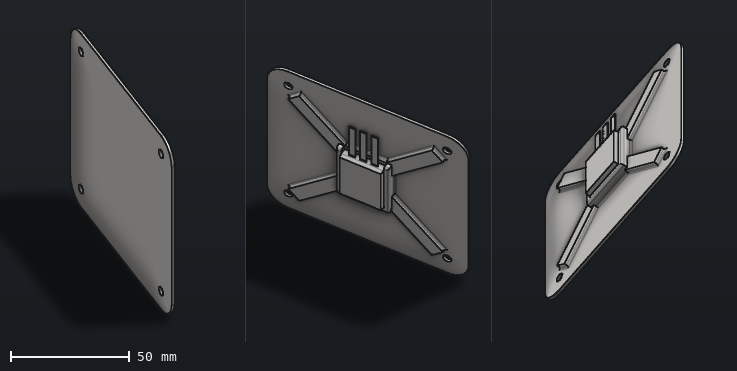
import cadquery as cq

plate_side = 95.0
plate_thickness = 1.5
plate_corner_radius = 10.0
hole_diameter = 4.0
hole_spacing = 75.05

rib_thickness = 2.0
rib_width = 7.3
rib_span = 95.95
rib_root_fillet = 0.95

sensor_width = 20.0
sensor_height = 25.9
sensor_depth = 4.9
front_inset = 0.24
back_inset = 0.3
terminal_count = 3
terminal_width = 3.0
terminal_thickness = 0.5
terminal_reach = 32.5
terminal_pitch = 5.3
terminal_seat = 1.7

pocket_clearance = 0.1
side_wall = 2.4
top_wall = 1.8
bottom_wall = 2.85
frame_depth = 2.85
frame_edge_fillet = 0.95

rib_top = plate_thickness + rib_thickness
terminal_front = rib_top + terminal_seat
pocket_width = sensor_width + 2 * pocket_clearance
pocket_height = sensor_height + 2 * pocket_clearance
holder_width = pocket_width + 2 * side_wall
holder_height = pocket_height + top_wall + bottom_wall
holder_center_z = (top_wall - bottom_wall) / 2


def block(width, depth, height, x, front, z):
    """Box centred on x and z, reaching from Y = front backwards by depth."""
    return (
        cq.Workplane("XY")
        .box(width, depth, height, centered=(True, False, True))
        .translate((x, front, z))
    )


def make_plate():
    plate = block(plate_side, plate_thickness, plate_side, 0, 0, 0)
    return plate.edges("|Y").fillet(plate_corner_radius)


def add_back_structure(plate):
    """Add the crossed ribs and the holder block, then round their root and rim."""
    body = plate
    for angle in (45, -45):
        rib = block(rib_span, rib_thickness, rib_width, 0, plate_thickness, 0)
        body = body.union(rib.rotate((0, 0, 0), (0, 1, 0), angle))
    holder = block(
        holder_width, rib_thickness + frame_depth, holder_height, 0, plate_thickness, holder_center_z
    )
    holder = holder.faces(">Y").edges().fillet(frame_edge_fillet)
    body = body.union(holder)

    reach = hole_spacing / 2
    level_gap = rib_thickness / 10
    root_edges = cq.selectors.BoxSelector(
        (-reach, plate_thickness - level_gap, -reach),
        (reach, plate_thickness + level_gap, reach),
    )
    return body.edges(root_edges).fillet(rib_root_fillet)


def cut_sensor_pocket(body):
    """Pocket for the sensor, carried up through the top wall as a notch."""
    pocket = block(
        pocket_width, frame_depth, pocket_height + top_wall, 0, rib_top, top_wall / 2
    )
    return body.cut(pocket)


def cut_mounting_holes(body):
    holes = (
        cq.Workplane("XZ")
        .rect(hole_spacing, hole_spacing, forConstruction=True)
        .vertices()
        .circle(hole_diameter / 2)
        .extrude(-plate_thickness)
    )
    return body.cut(holes)


def make_housing():
    body = add_back_structure(make_plate())
    body = cut_sensor_pocket(body)
    return cut_mounting_holes(body)


def drafted_half(start_y, depth, inset):
    """Sensor half from its parting plane at start_y, narrowing over a signed depth along +Y."""
    return (
        cq.Workplane("XZ", origin=(0, start_y, 0))
        .rect(sensor_width, sensor_height)
        .workplane(offset=-depth)
        .rect(sensor_width - 2 * inset, sensor_height - 2 * inset)
        .loft(ruled=True)
    )


def make_sensor():
    parting_y = rib_top + frame_depth
    front_half = drafted_half(parting_y, -frame_depth, front_inset)
    back_half = drafted_half(parting_y, sensor_depth - frame_depth, back_inset)
    sensor = front_half.union(back_half)
    for index in range(terminal_count):
        x = (index - (terminal_count - 1) / 2) * terminal_pitch
        terminal = block(
            terminal_width, terminal_thickness, terminal_reach, x, terminal_front, terminal_reach / 2
        )
        sensor = sensor.union(terminal)
    return sensor


housing = make_housing()
sensor = make_sensor()
result = cq.Compound.makeCompound([housing.val(), sensor.val()])